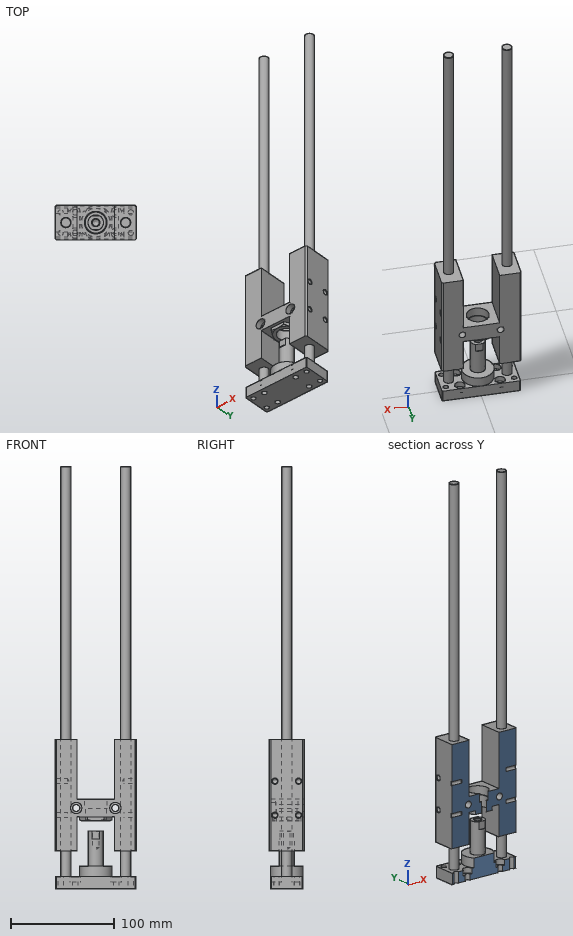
import cadquery as cq
import math

overall_width = 79.0
overall_height = 410.0

plate_width = 78.0
plate_depth = 32.0
plate_corner_chamfer = 1.0
plate_thickness = 12.0
rod_diameter = 10.0
rod_spacing = 58.0
rod_tip_chamfer = 0.5
flange_diameter = 32.0
flange_thickness = 10.0
stub_diameter = 15.0
stub_top = 56.25
width_across_flats = 13.0
stub_flat_height = 8.0
stub_thread_diameter = 6.65
stub_thread_depth = 16.0
stub_thread_chamfer = 0.7
plate_tapped_diameter = 5.0
plate_tapped_spacing_x = 68.0
plate_hole_spacing_y = 20.0
plate_screw_diameter = 5.5
plate_counterbore_diameter = 10.0
plate_counterbore_depth = 5.5
plate_screw_spacing_x = 40.0

housing_depth = 34.0
housing_corner_chamfer = 1.5
housing_bottom = 37.0
housing_height = 108.0
leg_gap = 36.0
crossbar_bottom = 70.0
crossbar_height = 17.0
housing_screw_diameter = 6.6
housing_counterbore_diameter = 11.0
housing_counterbore_depth = 6.5
housing_screw_spacing = 38.0
side_thread_diameter = 4.92
side_thread_depth = 12.0
side_thread_chamfer = 0.55
side_thread_spacing_y = 23.0
side_thread_spacing_z = 33.0
side_thread_height = 88.0
nut_corner_diameter = 32.0
nut_height = 4.0
nut_chamfer_height = 1.2
nut_chamfer_width = 2.2
nut_thread_diameter = 20.38
crossbar_hole_diameter = 22.0
crossbar_hole_depth = 9.0
drill_point_angle = 118.0

housing_top = housing_bottom + housing_height
crossbar_middle = crossbar_bottom + crossbar_height / 2
flange_top = plate_thickness + flange_thickness


def cylinder_z(diameter, bottom, top):
    """Upright cylinder on the Z axis between two heights."""
    return cq.Workplane("XY", origin=(0, 0, bottom)).circle(diameter / 2).extrude(top - bottom)


def tapped_hole(diameter, depth, chamfer):
    """Cutter for a blind hole along -Z from the origin: chamfered mouth and conical drill point."""
    radius = diameter / 2
    point_length = radius / math.tan(math.radians(drill_point_angle / 2))
    profile = [
        (0, 0),
        (radius + chamfer, 0),
        (radius, -chamfer),
        (radius, -depth),
        (0, -depth - point_length),
    ]
    return cq.Workplane("XZ").polyline(profile).close().revolve(360, (0, 0), (0, 1))


def chamfered_block(width, depth, bottom, height, chamfer):
    """Block centred on the Z axis, with chamfered upright corners."""
    block = cq.Workplane("XY", origin=(0, 0, bottom)).rect(width, depth).extrude(height)
    return block.edges("|Z").chamfer(chamfer)


def make_stub():
    """Round flange and coupling stub with two wrench flats and a tapped end."""
    stub = cylinder_z(stub_diameter, flange_top, stub_top)
    flats = (
        cq.Workplane("XY", origin=(0, 0, stub_top - stub_flat_height))
        .rarray(1, stub_diameter + width_across_flats, 1, 2)
        .rect(stub_diameter, stub_diameter)
        .extrude(stub_flat_height)
    )
    thread = tapped_hole(stub_thread_diameter, stub_thread_depth, stub_thread_chamfer)
    stub = stub.cut(flats).cut(thread.translate((0, 0, stub_top)))
    return stub.union(cylinder_z(flange_diameter, plate_thickness, flange_top))


def make_carriage():
    """End plate with its holes, both guide rods and the coupling stub."""
    plate = chamfered_block(plate_width, plate_depth, 0, plate_thickness, plate_corner_chamfer)
    plate = (
        plate.faces(">Z")
        .workplane(origin=(0, 0, plate_thickness))
        .rarray(plate_tapped_spacing_x, plate_hole_spacing_y, 2, 2)
        .hole(plate_tapped_diameter)
    )
    plate = (
        plate.faces(">Z")
        .workplane(origin=(0, 0, plate_thickness))
        .rarray(plate_screw_spacing_x, plate_hole_spacing_y, 2, 2)
        .cboreHole(plate_screw_diameter, plate_counterbore_diameter, plate_counterbore_depth)
    )
    carriage = plate.union(make_stub())
    rod = cylinder_z(rod_diameter, 0, overall_height).faces(">Z").chamfer(rod_tip_chamfer)
    for side in (-1, 1):
        carriage = carriage.union(rod.translate((side * rod_spacing / 2, 0, 0)))
    return carriage


def make_nut():
    """Hexagonal nut under the crossbar with its lower corners chamfered."""
    nut = (
        cq.Workplane("XY", origin=(0, 0, crossbar_bottom - nut_height))
        .polygon(6, nut_corner_diameter)
        .extrude(nut_height)
    )
    rounding = cylinder_z(nut_corner_diameter, crossbar_bottom - nut_height, crossbar_bottom)
    return nut.intersect(rounding.faces("<Z").chamfer(nut_chamfer_height, nut_chamfer_width))


def make_housing():
    """H-shaped housing with the nut, guide bores and all screw holes."""
    housing = chamfered_block(
        overall_width, housing_depth, housing_bottom, housing_height, housing_corner_chamfer
    )
    crossbar_top = crossbar_bottom + crossbar_height
    for bottom, top in ((housing_bottom, crossbar_bottom), (crossbar_top, housing_top)):
        opening = cq.Workplane("XY", origin=(0, 0, bottom)).rect(leg_gap, housing_depth).extrude(top - bottom)
        housing = housing.cut(opening)
    housing = housing.union(make_nut())

    housing = housing.cut(cylinder_z(nut_thread_diameter, crossbar_bottom - nut_height, crossbar_top))
    step_height = crossbar_top - crossbar_hole_depth
    housing = housing.cut(cylinder_z(crossbar_hole_diameter, step_height, crossbar_top))

    guide_bore = cylinder_z(rod_diameter, housing_bottom, housing_top)
    for side in (-1, 1):
        housing = housing.cut(guide_bore.translate((side * rod_spacing / 2, 0, 0)))
    housing = (
        housing.faces("<Y")
        .workplane(origin=(0, 0, crossbar_middle))
        .rarray(housing_screw_spacing, 1, 2, 1)
        .cboreHole(housing_screw_diameter, housing_counterbore_diameter, housing_counterbore_depth)
    )

    thread = tapped_hole(side_thread_diameter, side_thread_depth, side_thread_chamfer)
    for side in (-1, 1):
        side_thread = thread.rotate((0, 0, 0), (0, 1, 0), side * 90)
        for y in (-side_thread_spacing_y / 2, side_thread_spacing_y / 2):
            for z in (-side_thread_spacing_z / 2, side_thread_spacing_z / 2):
                place = (side * overall_width / 2, y, side_thread_height + z)
                housing = housing.cut(side_thread.translate(place))
    return housing


carriage = make_carriage()
housing = make_housing()
result = cq.Compound.makeCompound([carriage.solids().val(), housing.solids().val()])